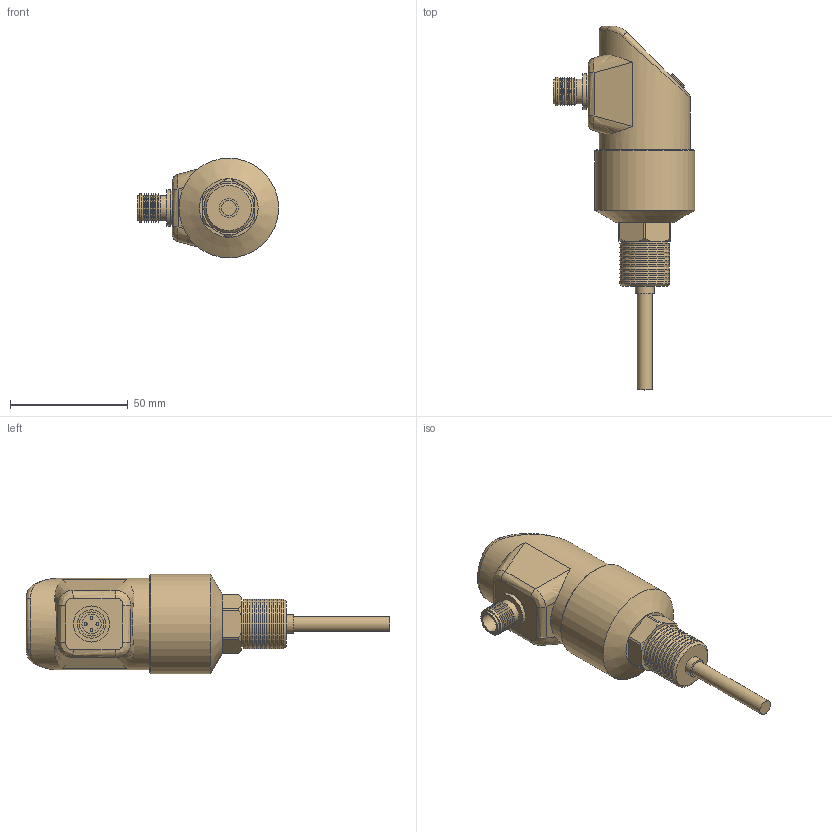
import cadquery as cq
import math


head_radius = 19.4
display_angle = 45.0
display_start_x = -10.2
crown_radius = 10.0
head_edge_radius = 2.0

collar_radius = 21.15
collar_start = 52.5
collar_chamfer = 0.5
cone_start = 78.3
hex_start = 83.4
hex_end = 91.4
hex_across_flats = 22.0
hex_corner_radius = 12.45
hex_chamfer = 1.0
relief_radius = 9.7
relief_length = 0.9
thread_radius = 10.6
thread_pitch = 1.814
thread_depth = 0.25
thread_end = 110.5
thread_end_chamfer = 1.0
probe_shoulder_radius = 4.0
probe_shoulder_end = 113.7
probe_radius = 3.2
probe_tip = 154.49

boss_draft = 15.0
boss_face_x = -24.1
boss_center = 29.0
boss_face_length = 29.6
boss_corner_radius = 6.5
boss_face_fillet = 3.5

overall_width = 59.95
plug_tip_x = collar_radius - overall_width
plug_center = 27.8
plug_thread_radius = 6.0
plug_thread_pitch = 1.0
plug_thread_depth = 0.6
plug_thread_count = 7
plug_tip_radius = 5.1
plug_tip_length = 0.9
plug_plain_length = 1.0
plug_neck_radius = 5.2
plug_flange_radius = 7.65
plug_flange_start_x = -26.3
plug_flange_end_x = -24.7
plug_seat_radius = 7.2
socket_radius = 4.1
socket_depth = 9.0
pin_radius = 0.6
pin_circle_radius = 2.5
pin_count = 4
pin_length = 3.0
key_width = 1.2
key_height = 0.9
key_angle = -45.0

button_center_x = 13.5
button_radius = 3.9
button_cap_radius = 3.6
button_layer_height = 0.65

OVERLAP = 1.0


def revolve_profile(plane, profile):
    """Turn (radius, position) points about the local x axis of the plane."""
    outline = cq.Workplane(plane).polyline([(position, radius) for radius, position in profile])
    return outline.close().revolve(360, (0, 0, 0), (1, 0, 0))


def v_grooves(start, pitch, count, crest_radius, depth):
    """Root-and-crest points (radius, position) of a run of V grooves."""
    points = []
    for turn in range(count):
        groove_start = start + turn * pitch
        points.append((crest_radius - depth, groove_start + pitch / 2))
        points.append((crest_radius, groove_start + pitch))
    return points


def make_head():
    length = collar_start + OVERLAP
    display_end = (head_radius - display_start_x) * math.tan(math.radians(display_angle))
    outline = (
        cq.Workplane("XY")
        .moveTo(-head_radius, 0)
        .lineTo(display_start_x, 0)
        .lineTo(head_radius, -display_end)
        .lineTo(head_radius, -length)
        .lineTo(-head_radius, -length)
        .close()
        .extrude(head_radius, both=True)
    )
    crown_edge = cq.selectors.NearestToPointSelector((display_start_x, 0, 0))
    outline = outline.edges(crown_edge).fillet(crown_radius)
    cylinder = cq.Workplane("XZ").circle(head_radius).extrude(length)
    head = cylinder.intersect(outline)
    return head.faces(">Y").edges().fillet(head_edge_radius)


def make_boss():
    draft = math.radians(boss_draft)
    base_x = -head_radius * math.sin(draft)
    depth = base_x - boss_face_x
    face_half_height = (head_radius + boss_face_x * math.sin(draft)) / math.cos(draft)
    face_height = 2 * face_half_height
    spread = 2 * depth * math.tan(draft)
    block = (
        cq.Workplane("YZ", origin=(boss_face_x, -boss_center, 0))
        .rect(boss_face_length, face_height)
        .workplane(offset=depth)
        .rect(boss_face_length + spread, face_height + spread)
        .loft(ruled=True)
    )
    slanted_edges = block.edges("not(#X)")
    block = slanted_edges.fillet(boss_corner_radius)
    return block.faces("<X").edges().fillet(boss_face_fillet)


def make_collar_and_probe():
    thread_start = hex_end + relief_length
    thread_stop = thread_end - thread_end_chamfer
    turns = int((thread_stop - thread_start) / thread_pitch)
    profile = [
        (0, collar_start),
        (collar_radius - collar_chamfer, collar_start),
        (collar_radius, collar_start + collar_chamfer),
        (collar_radius, cone_start),
        (hex_corner_radius, hex_start),
        (relief_radius, hex_start),
        (relief_radius, thread_start),
        (thread_radius, thread_start),
    ]
    profile += v_grooves(thread_start, thread_pitch, turns, thread_radius, thread_depth)
    profile += [
        (thread_radius, thread_stop),
        (thread_radius - thread_end_chamfer, thread_end),
        (probe_shoulder_radius, thread_end),
        (probe_shoulder_radius, probe_shoulder_end),
        (probe_radius, probe_shoulder_end),
        (probe_radius, probe_tip),
        (0, probe_tip),
    ]
    return revolve_profile("YZ", [(radius, -position) for radius, position in profile])


def make_hexagon():
    length = hex_end - hex_start + OVERLAP
    corner_diameter = hex_across_flats / math.cos(math.pi / 6)
    prism = (
        cq.Workplane("XZ", origin=(0, OVERLAP - hex_start, 0))
        .transformed(rotate=(0, 0, 90))
        .polygon(6, corner_diameter)
        .extrude(length)
    )
    rounding = (
        cq.Workplane("XZ", origin=(0, OVERLAP - hex_start, 0))
        .circle(hex_corner_radius)
        .extrude(length)
        .faces("<Y")
        .chamfer(hex_chamfer)
    )
    return prism.intersect(rounding)


def make_connector():
    thread_start_x = plug_tip_x + plug_tip_length
    groove_start_x = thread_start_x + plug_plain_length
    thread_stop_x = groove_start_x + plug_thread_count * plug_thread_pitch
    runout = plug_thread_radius - plug_neck_radius
    profile = [
        (plug_tip_radius, plug_tip_x),
        (plug_tip_radius, thread_start_x),
        (plug_thread_radius, thread_start_x),
        (plug_thread_radius, groove_start_x),
    ]
    profile += v_grooves(
        groove_start_x, plug_thread_pitch, plug_thread_count, plug_thread_radius, plug_thread_depth
    )
    profile += [
        (plug_neck_radius, thread_stop_x + runout),
        (plug_neck_radius, plug_flange_start_x),
        (plug_flange_radius, plug_flange_start_x),
        (plug_flange_radius, plug_flange_end_x),
        (plug_seat_radius, plug_flange_end_x),
        (plug_seat_radius, boss_face_x + OVERLAP),
        (0, boss_face_x + OVERLAP),
        (0, plug_tip_x + socket_depth),
        (socket_radius, plug_tip_x + socket_depth),
        (socket_radius, plug_tip_x),
    ]
    body = revolve_profile("XY", profile)
    socket_floor = cq.Workplane("YZ", origin=(plug_tip_x + socket_depth + OVERLAP, 0, 0))
    pins = (
        socket_floor.polarArray(pin_circle_radius, 0, 360, pin_count)
        .circle(pin_radius)
        .extrude(-(pin_length + OVERLAP))
    )
    key_outer = (plug_tip_radius + socket_radius) / 2
    key_inner = socket_radius - key_height
    key = (
        socket_floor.center(-(key_inner + key_outer) / 2, 0)
        .rect(key_outer - key_inner, key_width)
        .extrude(-(pin_length + OVERLAP))
        .rotate((0, 0, 0), (1, 0, 0), -key_angle)
    )
    return body.union(pins).union(key).translate((0, -plug_center, 0))


def make_button():
    tilt = math.radians(display_angle)
    center_y = (display_start_x - button_center_x) * math.tan(tilt)
    display_plane = cq.Plane(
        origin=(button_center_x, center_y, 0),
        xDir=(0, 0, 1),
        normal=(math.sin(tilt), math.cos(tilt), 0),
    )
    base = (
        cq.Workplane(display_plane)
        .workplane(offset=-OVERLAP)
        .circle(button_radius)
        .extrude(OVERLAP + button_layer_height)
    )
    cap = cq.Workplane(display_plane).circle(button_cap_radius).extrude(2 * button_layer_height)
    return base.union(cap)


result = (
    make_head()
    .union(make_boss())
    .union(make_collar_and_probe())
    .union(make_hexagon())
    .union(make_connector())
    .union(make_button())
)